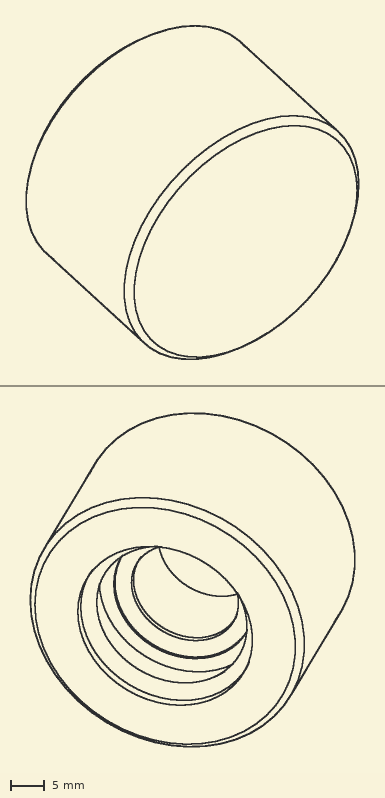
import cadquery as cq

length = 27.45
body_radius = 21.35
rim_chamfer = 1.05

mouth_radius = 27.2 / 2
mouth_depth = 1.45
lip_radius = 11.7
lip_x = mouth_depth + mouth_radius - lip_radius

undercut_radius = 13.1
shoulder_x = 9.15
undercut_mid_x = (lip_x + shoulder_x) / 2
undercut_bulge = 0.2
undercut_mid_radius = (lip_radius + undercut_radius) / 2 + undercut_bulge

seat_radius = 10.85
ring_inner_radius = 16.75 / 2
ring_section_radius = (seat_radius - ring_inner_radius) / 2
seat_x = 11.1
ring_overlap = 0.05

bore_radius = ring_inner_radius
bore_end_x = 23.45


def make_body():
    cylinder = cq.Workplane("YZ").circle(body_radius).extrude(length)
    return cylinder.edges().chamfer(rim_chamfer)


def make_cavity():
    profile = (
        cq.Workplane("XY")
        .moveTo(0, 0)
        .lineTo(0, mouth_radius)
        .lineTo(mouth_depth, mouth_radius)
        .lineTo(lip_x, lip_radius)
        .threePointArc((undercut_mid_x, undercut_mid_radius), (shoulder_x, undercut_radius))
        .lineTo(shoulder_x, seat_radius)
        .lineTo(seat_x, seat_radius)
        .lineTo(seat_x, bore_radius)
        .lineTo(bore_end_x, bore_radius)
        .lineTo(bore_end_x, 0)
        .close()
    )
    return profile.revolve(360, (0, 0, 0), (1, 0, 0))


def make_sealing_ring():
    section_center_x = seat_x - ring_section_radius + ring_overlap
    section_center_radius = ring_inner_radius + ring_section_radius
    section = (
        cq.Workplane("XY")
        .center(section_center_x, section_center_radius)
        .circle(ring_section_radius)
    )
    return section.revolve(360, (0, -section_center_radius, 0), (1, -section_center_radius, 0))


result = make_body().cut(make_cavity()).union(make_sealing_ring())